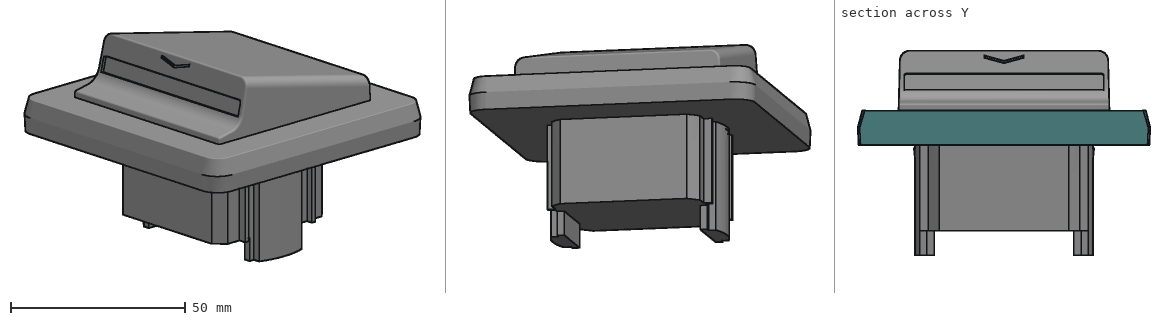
import cadquery as cq
import math

plate_width = 84.0
plate_thickness = 10.0
plate_mid_height = 5.0
plate_corner_radius = 6.0
plate_underside_inset = 0.25
plate_top_inset = 1.3
plate_rim_radius = 0.3

rocker_depth = 60.0
rocker_base_half_width = 30.3
rocker_draft = 1.5
rocker_back_height = 17.03
rocker_peak_y = -18.25
rocker_slope = 12.0
front_face_tilt = 13.0
lip_edge_height = 11.9
lip_slope = 10.5
lip_blend_radius = 5.2
roof_side_radius = 3.0
rocker_edge_radius = 0.6

label_half_width = 28.6
label_bottom = 15.9
label_top = 20.6
label_depth = 0.9
label_corner_radius = 0.6

mark_half_width = 5.7
mark_tip_height = 23.6
mark_rise = 1.6
mark_stroke = 0.65
mark_depth = 0.3

housing_width = 43.6
housing_depth = 24.6
housing_chamfer = 3.2
fin_reach = 24.15
fin_inner_y = 12.5
fin_outer_y = 13.9

post_depth = 31.6
post_inner_x = 20.0
post_step_x = 22.1
post_root_half_width = 10.2
post_half_width = 8.45
post_radius = 25.65
post_flat_half_width = 1.9

corner_bump_half_width = 1.9
corner_bump_projection = 0.2
corner_bump_length = 8.8
post_bump_half_width = 1.75
post_bump_projection = 0.3
post_bump_length = 3.6
post_bump_top = -0.9
bump_root = 0.5


def slope_tan(degrees):
    return math.tan(math.radians(degrees))


rocker_half_depth = rocker_depth / 2
rocker_peak_z = rocker_back_height + (rocker_half_depth - rocker_peak_y) * slope_tan(rocker_slope)


def front_face_y(z):
    """Y position of the tilted front face at height z."""
    return rocker_peak_y - (rocker_peak_z - z) * slope_tan(front_face_tilt)


def lip_corner():
    """Point (y, z) where the front face would meet the sloping finger lip."""
    tilt = slope_tan(front_face_tilt)
    slope = slope_tan(lip_slope)
    y_at_lip_edge = front_face_y(lip_edge_height)
    rise = (y_at_lip_edge + rocker_half_depth) * slope / (1 - tilt * slope)
    z = lip_edge_height + rise
    return front_face_y(z), z


def plate_section(inset, z):
    width = plate_width - 2 * inset
    sketch = cq.Sketch().rect(width, width).vertices().fillet(plate_corner_radius - inset)
    return sketch.moved(cq.Location(cq.Vector(0, 0, z)))


def make_plate():
    widest = plate_section(0, plate_mid_height)
    underside = plate_section(plate_underside_inset, 0)
    top = plate_section(plate_top_inset, plate_thickness)
    lower = cq.Workplane("XY").placeSketch(underside, widest).loft()
    upper = cq.Workplane("XY").placeSketch(widest, top).loft()
    upper = upper.faces(">Z").edges().fillet(plate_rim_radius)
    return lower.union(upper)


def make_rocker():
    base_z = plate_mid_height
    profile = [
        (rocker_half_depth, base_z),
        (rocker_half_depth, rocker_back_height),
        (rocker_peak_y, rocker_peak_z),
        lip_corner(),
        (-rocker_half_depth, lip_edge_height),
        (-rocker_half_depth, base_z),
    ]
    wedge = cq.Workplane("YZ").polyline(profile).close().extrude(plate_width / 2, both=True)

    draft = slope_tan(rocker_draft)
    bottom_x = rocker_base_half_width + (plate_thickness - base_z) * draft
    top_x = rocker_base_half_width - (rocker_peak_z - plate_thickness) * draft
    end_limits = [(-bottom_x, base_z), (bottom_x, base_z), (top_x, rocker_peak_z), (-top_x, rocker_peak_z)]
    drafted = cq.Workplane("XZ").polyline(end_limits).close().extrude(plate_width / 2, both=True)
    body = wedge.intersect(drafted)

    lip_y, lip_z = lip_corner()
    lip_edge = cq.selectors.NearestToPointSelector((0, lip_y, lip_z))
    body = body.edges(lip_edge).fillet(lip_blend_radius)
    roof_mid = ((rocker_half_depth + rocker_peak_y) / 2, (rocker_back_height + rocker_peak_z) / 2)
    for side in (-1, 1):
        roof_edge = cq.selectors.NearestToPointSelector((side * rocker_base_half_width, *roof_mid))
        body = body.edges(roof_edge).fillet(roof_side_radius)
    body = body.faces(">Y").edges("not <Z").fillet(rocker_edge_radius)
    front_face = cq.selectors.NearestToPointSelector((0, front_face_y(label_top), label_top))
    body = body.faces(front_face).edges().fillet(rocker_edge_radius)
    body = body.faces("<Y").edges(">Z").fillet(rocker_edge_radius)
    return body.cut(make_label_recess()).cut(make_mark())


def front_face_plane(z):
    """Plane lying on the tilted front face, centred at height z, with its normal pointing outwards."""
    normal = cq.Vector(0, -1, slope_tan(front_face_tilt))
    return cq.Plane(cq.Vector(0, front_face_y(z), z), cq.Vector(1, 0, 0), normal)


def make_label_recess():
    """Block sunk square to the front face, with rounded upper corners."""
    plane = front_face_plane((label_bottom + label_top) / 2)
    slant_height = (label_top - label_bottom) / math.cos(math.radians(front_face_tilt))
    block = cq.Workplane(plane).rect(2 * label_half_width, slant_height).extrude(label_depth, both=True)
    upper_edges = block.edges(cq.selectors.ParallelDirSelector(plane.zDir)).edges(">Z")
    return upper_edges.fillet(label_corner_radius)


def make_mark():
    outline = [
        (0, 0),
        (mark_half_width, mark_rise),
        (mark_half_width, mark_rise + mark_stroke),
        (0, mark_stroke),
        (-mark_half_width, mark_rise + mark_stroke),
        (-mark_half_width, mark_rise),
    ]
    plane = front_face_plane(mark_tip_height)
    return cq.Workplane(plane).polyline(outline).close().extrude(mark_depth, both=True)


def make_housing():
    """Chamfered square block with a pad and a pair of fins across its X sides."""
    body = cq.Workplane("XY").rect(housing_width, housing_width).extrude(-housing_depth)
    body = body.edges("|Z").chamfer(housing_chamfer)
    fin_y = (fin_inner_y + fin_outer_y) / 2
    fins = cq.Workplane("XY").pushPoints([(0, fin_y), (0, -fin_y)])
    fins = fins.rect(2 * fin_reach, fin_outer_y - fin_inner_y).extrude(-housing_depth)
    side_pads = cq.Workplane("XY").rect(2 * post_step_x, 2 * fin_inner_y).extrude(-housing_depth)
    return body.union(fins).union(side_pads)


def post_arc_x(y):
    """X position of the round outer side of a post."""
    return math.sqrt(post_radius**2 - y**2)


post_flat_x = post_arc_x(post_flat_half_width)


def make_post():
    """Post on the +X side; its round outer side is centred on the part's axis."""
    arc_mid_y = (post_half_width + post_flat_half_width) / 2
    outline = (
        cq.Workplane("XY")
        .moveTo(post_inner_x, -post_root_half_width)
        .lineTo(post_step_x, -post_root_half_width)
        .lineTo(post_step_x, -post_half_width)
        .lineTo(post_arc_x(post_half_width), -post_half_width)
        .threePointArc((post_arc_x(arc_mid_y), -arc_mid_y), (post_flat_x, -post_flat_half_width))
        .lineTo(post_flat_x, post_flat_half_width)
        .threePointArc((post_arc_x(arc_mid_y), arc_mid_y), (post_arc_x(post_half_width), post_half_width))
        .lineTo(post_step_x, post_half_width)
        .lineTo(post_step_x, post_root_half_width)
        .lineTo(post_inner_x, post_root_half_width)
        .close()
    )
    return outline.extrude(-post_depth)


def make_bump(face_distance, half_width, projection, top_z, length):
    """Cone that bulges from a flat facing +X and runs out into it at its lower end."""
    top_radius = (half_width**2 / projection + projection) / 2
    end_radius = top_radius - projection
    axis = cq.Vector(face_distance - end_radius, 0, top_z)
    cone = cq.Workplane(cq.Solid.makeCone(top_radius, end_radius, length, axis, cq.Vector(0, 0, -1)))
    keep = cq.Workplane("XY").box(2 * bump_root, 2 * half_width, length)
    return cone.intersect(keep.translate((face_distance, 0, top_z - length / 2)))


def about_z(shape, angle):
    return shape.rotate((0, 0, 0), (0, 0, 1), angle)


post_bump = make_bump(
    post_flat_x, post_bump_half_width, post_bump_projection, post_bump_top, post_bump_length
)

part = make_plate().union(make_rocker()).union(make_housing())
for side_angle in (0, 180):
    part = part.union(about_z(make_post(), side_angle))
    part = part.union(about_z(post_bump, side_angle))

corner_flat_distance = (housing_width - housing_chamfer) / math.sqrt(2)
corner_bump = make_bump(
    corner_flat_distance, corner_bump_half_width, corner_bump_projection, 0, corner_bump_length
)
for corner_angle in (45, 135, 225, 315):
    part = part.union(about_z(corner_bump, corner_angle))

result = part